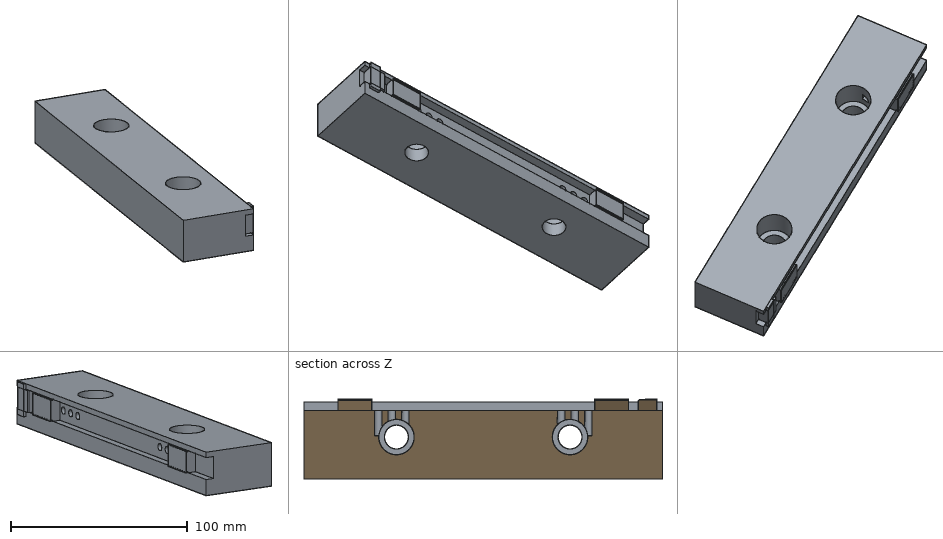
import cadquery as cq

LENGTH = 203.2
DEPTH = 43.7
HEIGHT = 25.5

GROOVE_HEIGHT = 12.8
GROOVE_DEPTH = 4.9
GROOVE_MID_Z = 15.8
GROOVE_FLOOR_Y = DEPTH - GROOVE_DEPTH

BOLT_X = 49.2
BOLT_Y = DEPTH - 20.0
BOLT_DIAMETER = 13.5
COUNTERBORE_DIAMETER = 20.0
COUNTERBORE_DEPTH = 16.3

CROSS_HOLE_FIRST_X = 44.0
CROSS_HOLE_PITCH = 7.7
CROSS_HOLES_PER_SIDE = 3
CROSS_HOLE_DIAMETER = 4.0
CROSS_HOLE_DEPTH = 14.2

PROTRUSION = 1.6

GRIPPER_X = 72.7
GRIPPER_LENGTH = 19.3
NECK_HEIGHT = 11.8
PLATE_THICKNESS = 0.6
PLATE_BACK_Y = DEPTH + PROTRUSION - PLATE_THICKNESS

STOP_LEFT_X = 91.8
STOP_RIGHT_X = 98.3
STOP_BOTTOM_Z = 6.3
SLIDER_LEFT_X = 87.8
SLIDER_PROTRUSION = 1.2
SLIDER_CHAMFER = 0.6


def box(x_range, y_range, z_range):
    """Box between a low and a high limit along each axis."""
    low, high = zip(x_range, y_range, z_range)
    size = [b - a for a, b in zip(low, high)]
    return cq.Workplane("XY").box(*size, centered=False).translate(low)


def groove_box(x_range, y_range, height):
    """Box centred on the mid-height of the groove."""
    return box(x_range, y_range, (GROOVE_MID_Z - height / 2, GROOVE_MID_Z + height / 2))


def gripper_span(x):
    """X limits of the gripper centred at x."""
    return (x - GRIPPER_LENGTH / 2, x + GRIPPER_LENGTH / 2)


def make_block():
    ends = (-LENGTH / 2, LENGTH / 2)
    block = box(ends, (0, DEPTH), (0, HEIGHT))
    block = block.cut(groove_box(ends, (GROOVE_FLOOR_Y, DEPTH), GROOVE_HEIGHT))
    block = (
        block.faces(">Z")
        .workplane(origin=(0, 0, HEIGHT))
        .pushPoints([(-BOLT_X, BOLT_Y), (BOLT_X, BOLT_Y)])
        .cboreHole(BOLT_DIAMETER, COUNTERBORE_DIAMETER, COUNTERBORE_DEPTH)
    )
    return block.cut(make_cross_holes())


def make_cross_holes():
    """Cutter for the small holes, running from the groove floor toward the front."""
    places = []
    for step in range(CROSS_HOLES_PER_SIDE):
        x = CROSS_HOLE_FIRST_X + step * CROSS_HOLE_PITCH
        places += [(-x, GROOVE_MID_Z), (x, GROOVE_MID_Z)]
    return (
        cq.Workplane("XZ", origin=(0, GROOVE_FLOOR_Y, 0))
        .pushPoints(places)
        .circle(CROSS_HOLE_DIAMETER / 2)
        .extrude(CROSS_HOLE_DEPTH)
    )


def make_gripper_base(x):
    seat = groove_box(gripper_span(x), (GROOVE_FLOOR_Y, DEPTH), GROOVE_HEIGHT)
    neck = groove_box(gripper_span(x), (DEPTH, PLATE_BACK_Y), NECK_HEIGHT)
    return seat.union(neck)


def make_gripper_plate(x):
    return groove_box(gripper_span(x), (PLATE_BACK_Y, DEPTH + PROTRUSION), GROOVE_HEIGHT)


def make_slider():
    """Slider with its outer left edge chamfered."""
    slider = groove_box(
        (SLIDER_LEFT_X, STOP_RIGHT_X),
        (GROOVE_FLOOR_Y, DEPTH + SLIDER_PROTRUSION),
        GROOVE_HEIGHT,
    )
    return slider.faces("<X").edges(">Y").chamfer(SLIDER_CHAMFER)


def make_stop_plate(slider):
    """Plate on the back face, recessed where the slider stands proud."""
    plate = box(
        (STOP_LEFT_X, STOP_RIGHT_X),
        (DEPTH, DEPTH + PROTRUSION),
        (STOP_BOTTOM_Z, HEIGHT),
    )
    return plate.cut(slider)


block = make_block()
slider = make_slider()
stop_plate = make_stop_plate(slider)

gripper_bases = []
gripper_plates = []
for gripper_x in (-GRIPPER_X, GRIPPER_X):
    gripper_bases.append(make_gripper_base(gripper_x).val())
    gripper_plates.append(make_gripper_plate(gripper_x).val())

result = cq.Compound.makeCompound(
    [block.val(), slider.val(), stop_plate.val(), *gripper_bases, *gripper_plates]
)